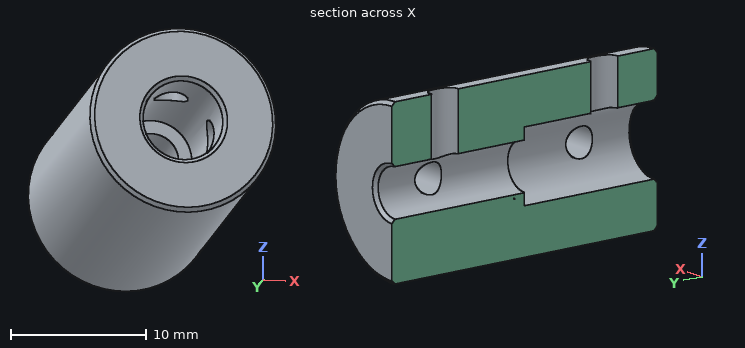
import cadquery as cq

outer_diameter = 14.0
length = 25.0
front_bore_diameter = 6.0
rear_bore_diameter = 4.0
front_bore_depth = length / 2
edge_chamfer = 0.3

screw_hole_diameter = 2.5
screw_end_distance = 5.0

outer_radius = outer_diameter / 2
front_y = -length / 2
rear_y = length / 2
screw_positions = (front_y + screw_end_distance, rear_y - screw_end_distance)


def y_cylinder(diameter, start_y, height):
    """Cylinder on the Y axis, growing from start_y toward +Y."""
    return cq.Workplane(cq.Solid.makeCylinder(
        diameter / 2, height, cq.Vector(0, start_y, 0), cq.Vector(0, 1, 0)))


def screw_hole(y, direction):
    """Radial cutter from the coupling axis out through the wall."""
    return cq.Workplane(cq.Solid.makeCylinder(
        screw_hole_diameter / 2, outer_radius, cq.Vector(0, y, 0), direction))


body = y_cylinder(outer_diameter, front_y, length)
body = body.cut(y_cylinder(rear_bore_diameter, front_y, length))
body = body.cut(y_cylinder(front_bore_diameter, front_y, front_bore_depth))

body = body.faces("<Y or >Y").edges().chamfer(edge_chamfer)

for screw_y in screw_positions:
    for screw_direction in (cq.Vector(0, 0, 1), cq.Vector(1, 0, 0)):
        body = body.cut(screw_hole(screw_y, screw_direction))

result = body